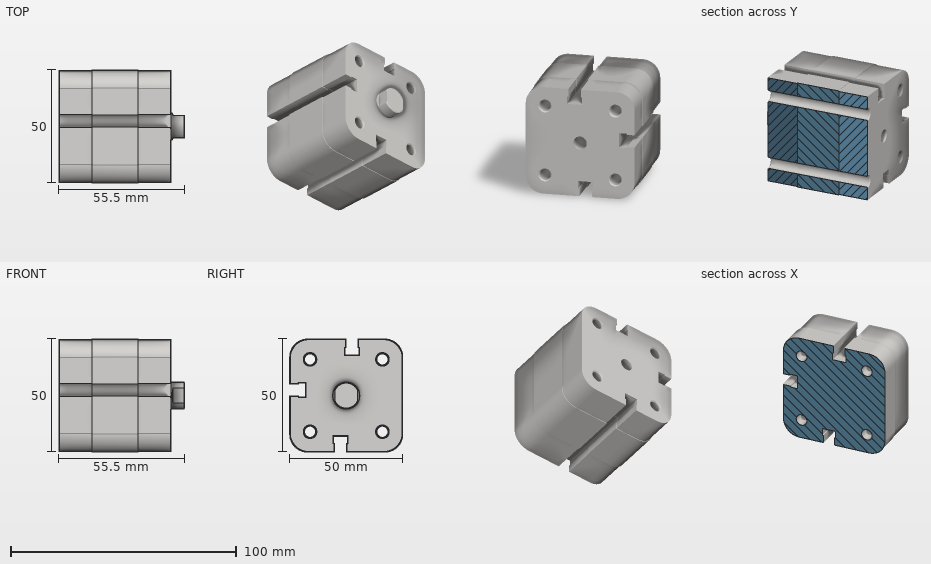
import cadquery as cq


total_length = 55.5
cap_length = 14.5
barrel_length = 20.55
barrel_start = cap_length
front_cap_start = barrel_start + barrel_length
housing_end = front_cap_start + cap_length
rod_length = total_length - housing_end

barrel_width = 50.0
cap_setback = 0.25
corner_radius = 8.0

slot_offset = 2.5
slot_mouth_width = 5.2
slot_inner_width = 6.2
slot_depth = 7.0
slot_lip_depth = 3.8
cut_margin = 0.55

bolt_spacing = 32.0
bolt_hole_diameter = 5.0
bolt_chamfer = 0.5

centring_diameter = 6.0
centring_depth = centring_diameter

rod_diameter = 12.0
rod_chamfer_length = 0.3
rod_chamfer_depth = 0.45
flat_width = 10.0
flat_start = 1.0
flat_shoulder = 0.5


def slot_cutter(length, setback):
    """Stepped slot open toward +Z, centred on Y = 0, running along X from 0."""
    half_mouth = slot_mouth_width / 2 + setback
    half_inner = slot_inner_width / 2 + setback
    top = barrel_width / 2 + cut_margin
    bottom = barrel_width / 2 - slot_depth - setback
    lip_bottom = barrel_width / 2 - slot_lip_depth
    right_side = [
        (half_inner, bottom),
        (half_inner, lip_bottom),
        (half_mouth, lip_bottom),
        (half_mouth, top),
    ]
    left_side = [(-y, z) for y, z in reversed(right_side)]
    return cq.Workplane("YZ").polyline(right_side + left_side).close().extrude(length)


def housing_section(start, length, setback):
    """Rounded square block with three slots and four screw holes."""
    width = barrel_width - 2 * setback
    block = (
        cq.Workplane("YZ")
        .rect(width, width)
        .extrude(length)
        .edges("|X")
        .fillet(corner_radius)
    )
    slot = slot_cutter(length, setback).translate((0, slot_offset, 0))
    for angle in (0, 90, 180):
        block = block.cut(slot.rotate((0, 0, 0), (1, 0, 0), angle))
    bolt_holes = (
        cq.Workplane("YZ")
        .rect(bolt_spacing, bolt_spacing, forConstruction=True)
        .vertices()
        .circle(bolt_hole_diameter / 2)
        .extrude(length)
    )
    return block.cut(bolt_holes).translate((start, 0, 0))


def bolt_chamfer_cutters(face_x, inward):
    """Cones that break the screw hole edges on an end face; inward is +1 or -1 along X."""
    large_radius = bolt_hole_diameter / 2 + bolt_chamfer
    cutters = cq.Workplane("YZ")
    for y in (-bolt_spacing / 2, bolt_spacing / 2):
        for z in (-bolt_spacing / 2, bolt_spacing / 2):
            cone = cq.Solid.makeCone(
                large_radius,
                bolt_hole_diameter / 2,
                bolt_chamfer,
                pnt=cq.Vector(face_x, y, z),
                dir=cq.Vector(inward, 0, 0),
            )
            cutters = cutters.add(cone)
    return cutters.combine()


def make_rear_cap():
    cap = housing_section(0, cap_length, cap_setback)
    cap = cap.cut(bolt_chamfer_cutters(0, 1))
    centring_hole = cq.Workplane("YZ").circle(centring_diameter / 2).extrude(centring_depth)
    return cap.cut(centring_hole)


def make_barrel():
    return housing_section(barrel_start, barrel_length, 0)


def make_front_cap():
    cap = housing_section(front_cap_start, cap_length, cap_setback)
    return cap.cut(bolt_chamfer_cutters(housing_end, -1))


def make_piston_rod():
    """Rod standing on the front cap, with a chamfered end and two wrench flats facing +Y and -Y."""
    radius = rod_diameter / 2
    rod = (
        cq.Workplane("XY")
        .moveTo(0, 0)
        .lineTo(0, radius)
        .lineTo(rod_length - rod_chamfer_length, radius)
        .lineTo(rod_length, radius - rod_chamfer_depth)
        .lineTo(rod_length, 0)
        .close()
        .revolve(360, (0, 0, 0), (1, 0, 0))
    )
    flat_cut = (
        cq.Workplane("XY")
        .moveTo(flat_start, flat_width / 2)
        .lineTo(flat_start - flat_shoulder, radius)
        .lineTo(flat_start - flat_shoulder, radius + cut_margin)
        .lineTo(rod_length + cut_margin, radius + cut_margin)
        .lineTo(rod_length + cut_margin, flat_width / 2)
        .close()
        .extrude(radius, both=True)
    )
    rod = rod.cut(flat_cut).cut(flat_cut.mirror("XZ"))
    return rod.translate((housing_end, 0, 0))


rear_cap = make_rear_cap()
barrel = make_barrel()
front_cap = make_front_cap()
piston_rod = make_piston_rod()

result = cq.Compound.makeCompound([rear_cap.val(), barrel.val(), front_cap.val(), piston_rod.val()])